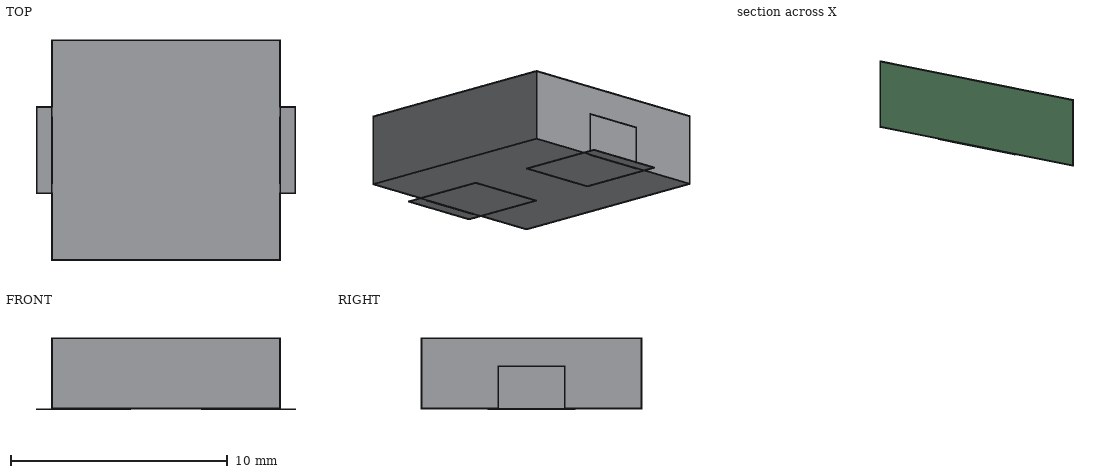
import cadquery as cq

body_length = 10.53
body_width = 10.16
overall_height = 3.3
body_bottom = 0.03

overall_length = 11.94
terminal_length = 4.32
terminal_width = 4.0
terminal_thickness = 0.01

strip_width = 3.06
strip_top = 1.98
strip_projection = 0.01
strip_embed = 0.01


def block(x_start, x_end, width, z_start, z_end):
    """Box centred on Y, spanning the given X and Z ranges."""
    return (
        cq.Workplane("XY")
        .box(x_end - x_start, width, z_end - z_start, centered=(False, True, False))
        .translate((x_start, 0, z_start))
    )


def make_body():
    return block(-body_length / 2, body_length / 2, body_width, body_bottom, overall_height)


def make_left_lead():
    """Flat terminal joined to its upright strip at the -X end."""
    terminal_start = -overall_length / 2
    terminal = block(
        terminal_start, terminal_start + terminal_length, terminal_width, 0, terminal_thickness
    )
    wall = -body_length / 2
    strip = block(wall - strip_projection, wall + strip_embed, strip_width, 0, strip_top)
    return terminal.union(strip)


left_lead = make_left_lead()
right_lead = left_lead.mirror("YZ")
result = make_body().union(left_lead).union(right_lead)